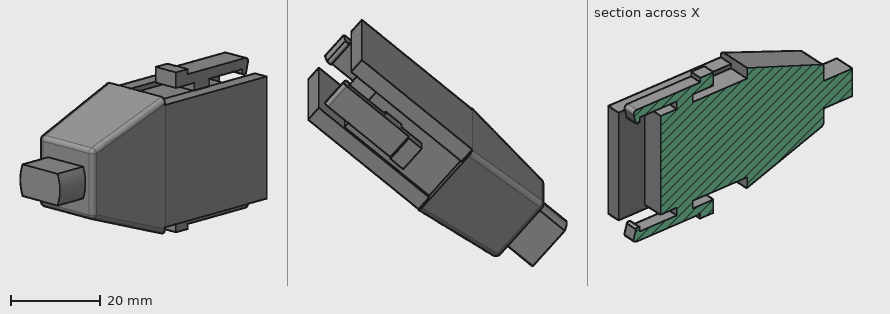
import cadquery as cq
import math


total_length = 63.5
total_height = 37.4
width = 18.6

body_length = 32.65
body_height = 28.6
channel_width = 11.2
channel_depth = 1.15
notch_length = 7.6

clip_overhang = 0.25
clip_width = 6.4
clip_thickness = 2.5
clip_gap = 0.75
clip_length = 23.2
clip_end_radius = 0.95
button_length = 3.8
foot_start = 12.5
foot_length = 4.75
hook_length = 1.9
hook_tip_setback = 0.65
hook_drop = 1.35
hook_round_height = 0.3

hood_length = 22.4
hood_height = 32.0
hood_front_width = 16.95
hood_slope = 19.5
hood_fillet = 1.3

plug_height = 7.45
plug_flat_width = 11.05
plug_full_width = 12.5

body_top = body_height / 2
plug_length = total_length - clip_overhang - body_length - hood_length


def make_body():
    body = cq.Workplane("XY").box(width, body_length, body_height, centered=(True, False, True))
    notch = (
        cq.Workplane("XY")
        .box(channel_width, notch_length, body_height, centered=(True, False, True))
        .translate((0, body_length - notch_length, 0))
    )
    channel = cq.Workplane("XY").box(
        channel_width, body_length, channel_depth, centered=(True, False, False)
    )
    top_channel = channel.translate((0, 0, body_top - channel_depth))
    bottom_channel = channel.translate((0, 0, -body_top))
    return body.cut(notch).cut(top_channel).cut(bottom_channel)


def make_hood():
    front_height = hood_height - 2 * hood_length * math.tan(math.radians(hood_slope))
    hood = (
        cq.Workplane("XZ")
        .rect(width, hood_height)
        .workplane(offset=hood_length)
        .rect(hood_front_width, front_height)
        .loft(ruled=True)
    )
    return hood.edges("not >Y").fillet(hood_fillet)


def make_plug():
    flat = plug_flat_width / 2
    bulge = plug_full_width / 2
    half_height = plug_height / 2
    return (
        cq.Workplane("XZ", origin=(0, -hood_length, 0))
        .moveTo(-flat, -half_height)
        .lineTo(flat, -half_height)
        .threePointArc((bulge, 0), (flat, half_height))
        .lineTo(-flat, half_height)
        .threePointArc((-bulge, 0), (-flat, -half_height))
        .close()
        .extrude(plug_length)
    )


def make_top_clip():
    rear = body_length + clip_overhang
    front = rear - clip_length
    foot_rear = rear - foot_start
    foot_front = foot_rear - foot_length
    hook_front = rear - hook_length
    hook_rear = rear - hook_tip_setback
    underside = body_top + clip_gap
    arm_top = underside + clip_thickness
    hook_bottom = underside - hook_drop
    tip_start = hook_bottom + hook_round_height
    floor = body_top - channel_depth
    round_offset = clip_end_radius * (1 - math.sqrt(0.5))
    return (
        cq.Workplane("YZ")
        .moveTo(front, underside)
        .lineTo(front, total_height / 2)
        .lineTo(front + button_length, total_height / 2)
        .lineTo(front + button_length, arm_top)
        .lineTo(rear - clip_end_radius, arm_top)
        .threePointArc(
            (rear - round_offset, arm_top - round_offset),
            (rear, arm_top - clip_end_radius),
        )
        .lineTo(hook_rear, tip_start)
        .threePointArc(((hook_rear + hook_front) / 2, hook_bottom), (hook_front, tip_start))
        .lineTo(hook_front, underside)
        .lineTo(foot_rear, underside)
        .lineTo(foot_rear, floor)
        .lineTo(foot_front, floor)
        .lineTo(foot_front, underside)
        .close()
        .extrude(clip_width / 2, both=True)
    )


top_clip = make_top_clip()
bottom_clip = top_clip.mirror("XY")
result = make_body().union(make_hood()).union(make_plug()).union(top_clip).union(bottom_clip)